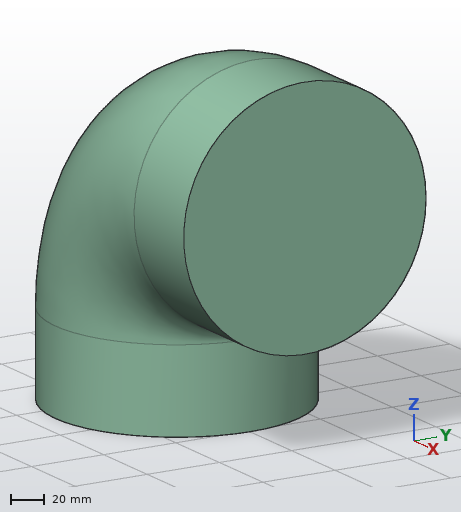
import cadquery as cq

overall_length = 231.0
outer_diameter = 168.0
straight_length = 57.0
bend_angle = 90.0

outer_radius = outer_diameter / 2
bend_radius = overall_length - straight_length - outer_radius

lower_end = cq.Workplane("XY").circle(outer_radius).extrude(straight_length)

bend = (
    cq.Workplane("XY", origin=(0, 0, straight_length))
    .circle(outer_radius)
    .revolve(bend_angle, (bend_radius, 0, 0), (bend_radius, 1, 0))
)

side_end = (
    cq.Workplane("YZ", origin=(bend_radius, 0, straight_length + bend_radius))
    .circle(outer_radius)
    .extrude(straight_length)
)

result = lower_end.union(bend).union(side_end)